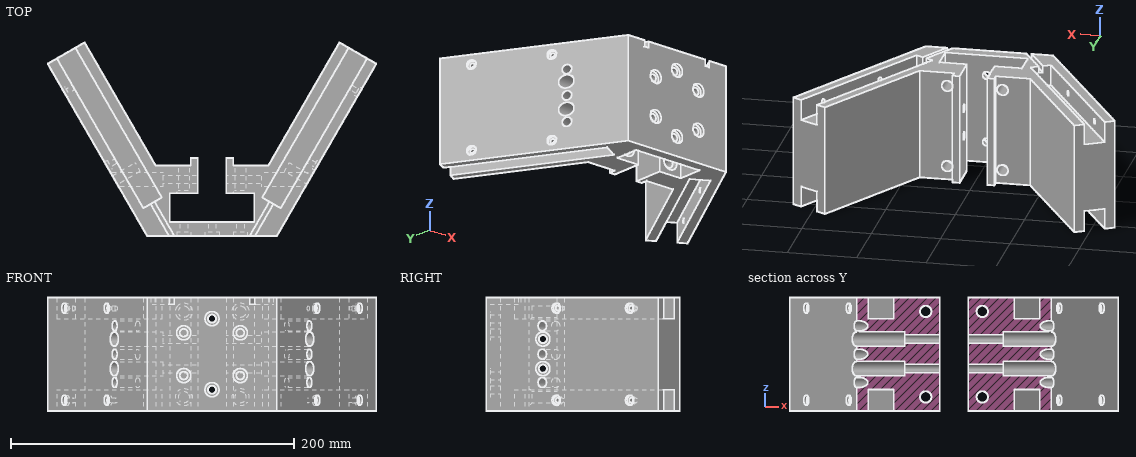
import cadquery as cq
import math

overall_width = 232.0
height = 80.3
arm_length = 140.3
arm_thickness = 30.2
arm_angle = 60.0

plate_thickness = 10.0
channel_half_width = 29.7
channel_back = 30.2
neck_half_width = 10.0
lip_half_width = 15.0
shoulder_y = 49.9
lip_y = 55.2

pocket_width = arm_thickness / 2
pocket_start = 18.3
pocket_depth = 15.0
overrun = 2.3
groove_width = 3.2
groove_depth = 4.9

clearance_diameter = 5.5
head_diameter = 10.0
head_depth = 3.0
center_hole_z = 25.0
plate_hole_x = 20.0
plate_hole_z = 15.0
wall_hole_z = 30.2
wall_hole_diameter = 8.0
wall_hole_countersink = 2.0

cross_hole_y = (channel_back + shoulder_y) / 2
cross_hole_heights = (-10.2, 10.7)
cross_head_floor_x = 34.8

arm_screw_stations = (57.0, 117.0)
arm_screw_z = 32.5
arm_screw_diameter = 3.5
arm_screw_depth = arm_thickness / 2
arm_screw_head_diameter = 7.0
arm_screw_head_depth = 2.3
pin_diameter = 7.0
pin_station = 45.7
pin_spacing = 20.0
pin_depth = 18.5

cos_arm = math.cos(math.radians(arm_angle))
sin_arm = math.sin(math.radians(arm_angle))
half_height = height / 2
corner_x = overall_width / 2 - arm_length * cos_arm


def arm_point(along, inward):
    """XY position on the right arm, measured from its front corner."""
    x = corner_x + along * cos_arm - inward * sin_arm
    y = along * sin_arm + inward * cos_arm
    return (x, y)


def cylinder(origin, direction, diameter, length):
    """Solid cylinder starting at origin and running along direction."""
    solid = cq.Solid.makeCylinder(diameter / 2, length, cq.Vector(*origin), cq.Vector(*direction))
    return cq.Workplane(solid)


def right_body():
    """Right half of the outline: half the block plus one arm."""
    shoulder_along = (shoulder_y - arm_thickness * cos_arm) / sin_arm
    outline = [
        (0, 0),
        arm_point(0, 0),
        arm_point(arm_length, 0),
        arm_point(arm_length, arm_thickness),
        arm_point(shoulder_along, arm_thickness),
        (lip_half_width, shoulder_y),
        (lip_half_width, lip_y),
        (neck_half_width, lip_y),
        (neck_half_width, channel_back),
        (channel_half_width, channel_back),
        (channel_half_width, plate_thickness),
        (0, plate_thickness),
    ]
    return cq.Workplane("XY").workplane(offset=-half_height).polyline(outline).close().extrude(height)


def arm_slot(start, end, width, z_bottom, depth):
    """Straight slot along the middle of the arm's thickness."""
    near = (arm_thickness - width) / 2
    far = near + width
    corners = [arm_point(start, near), arm_point(end, near), arm_point(end, far), arm_point(start, far)]
    return cq.Workplane("XY").workplane(offset=z_bottom).polyline(corners).close().extrude(depth)


def cut_arm_slots(body):
    """Pockets at both ends of the height, and the wire groove from the upper one to the front."""
    for z_bottom in (-half_height, half_height - pocket_depth):
        body = body.cut(arm_slot(pocket_start, arm_length + overrun, pocket_width, z_bottom, pocket_depth))
    groove_bottom = half_height - groove_depth
    groove = arm_slot(-arm_thickness, pocket_start, groove_width, groove_bottom, groove_depth)
    return body.cut(groove)


def cut_arm_holes(body):
    """Counterbored screw holes into the pockets, and a column of blind pin holes."""
    inward = (-sin_arm, cos_arm, 0)
    for along in arm_screw_stations:
        for z in (-arm_screw_z, arm_screw_z):
            origin = (*arm_point(along, 0), z)
            body = body.cut(cylinder(origin, inward, arm_screw_diameter, arm_screw_depth))
            body = body.cut(cylinder(origin, inward, arm_screw_head_diameter, arm_screw_head_depth))
    for z in (-pin_spacing, 0, pin_spacing):
        body = body.cut(cylinder((*arm_point(pin_station, 0), z), inward, pin_diameter, pin_depth))
    return body


def cut_cross_holes(body):
    """Bolt holes along X with deep head bores from the arm face."""
    for z in cross_hole_heights:
        body = body.cut(cylinder((0, cross_hole_y, z), (1, 0, 0), clearance_diameter, overall_width))
        floor = (cross_head_floor_x, cross_hole_y, z)
        body = body.cut(cylinder(floor, (1, 0, 0), head_diameter, overall_width))
    return body


def cut_front_screw(body, x, z):
    """Counterbored hole through the front plate."""
    body = body.cut(cylinder((x, 0, z), (0, 1, 0), clearance_diameter, plate_thickness))
    return body.cut(cylinder((x, 0, z), (0, 1, 0), head_diameter, head_depth))


def cut_plate_holes(body):
    """Pair of counterbored holes beside the centre plane."""
    for z in (-plate_hole_z, plate_hole_z):
        body = cut_front_screw(body, plate_hole_x, z)
    return body


def cut_wall_holes(body):
    """Countersunk holes from the back wall of the channel through to the shoulder."""
    radius = wall_hole_diameter / 2
    backward = cq.Vector(0, 1, 0)
    for z in (-wall_hole_z, wall_hole_z):
        mouth = cq.Vector(plate_hole_x, channel_back, z)
        countersink = cq.Solid.makeCone(
            radius + wall_hole_countersink, radius, wall_hole_countersink, mouth, backward
        )
        body = body.cut(cq.Workplane(countersink))
        body = body.cut(cylinder(mouth.toTuple(), (0, 1, 0), wall_hole_diameter, shoulder_y - channel_back))
    return body


half = right_body()
half = cut_arm_slots(half)
half = cut_arm_holes(half)
half = cut_cross_holes(half)
half = cut_plate_holes(half)
half = cut_wall_holes(half)

result = half.union(half.mirror("YZ"))
for hole_z in (-center_hole_z, center_hole_z):
    result = cut_front_screw(result, 0, hole_z)